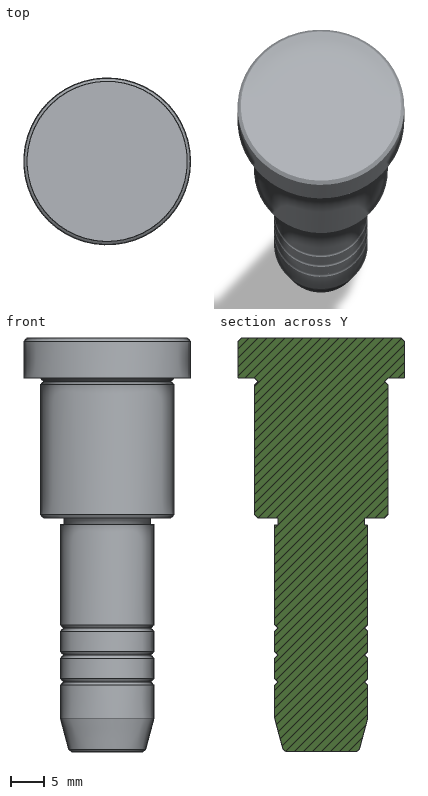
import cadquery as cq
import math

total_length = 62.0

head_radius = 25.0 / 2
head_height = 6.0
head_chamfer = 0.5

body_radius = 20.0 / 2
body_length = 20.95
body_chamfer = 0.5

shank_radius = 14.0 / 2
neck_depth = 0.5
neck_length = 1.0

tip_length = 5.0
tip_angle = 15.0
tip_chamfer = 0.4

groove_depth = 0.5
groove_count = 3
groove_pitch = 4.0
lowest_groove_z = 10.5

head_bottom_z = total_length - head_height
body_bottom_z = head_bottom_z - body_length
shank_top_z = body_bottom_z - neck_length


def cylinder(radius, bottom_z, top_z):
    """Solid cylinder on the Z axis between two levels."""
    return cq.Workplane("XY").workplane(offset=bottom_z).circle(radius).extrude(top_z - bottom_z)


def v_groove(surface_radius, center_z):
    """Triangular ring that cuts a V-groove into a cylinder of the given radius."""
    return (
        cq.Workplane("XZ")
        .moveTo(surface_radius, center_z - groove_depth)
        .lineTo(surface_radius - groove_depth, center_z)
        .lineTo(surface_radius, center_z + groove_depth)
        .close()
        .revolve(360, (0, 0, 0), (0, 1, 0))
    )


def tapered_tip():
    """Truncated cone that narrows downward, with a chamfered end."""
    end_radius = shank_radius - tip_length * math.tan(math.radians(tip_angle))
    cone = cq.Solid.makeCone(end_radius, shank_radius, tip_length)
    return cq.Workplane(obj=cone).faces("<Z").chamfer(tip_chamfer)


head = cylinder(head_radius, head_bottom_z, total_length).faces(">Z").chamfer(head_chamfer)
body = cylinder(body_radius, body_bottom_z, head_bottom_z).faces("<Z").chamfer(body_chamfer)
neck = cylinder(shank_radius - neck_depth, shank_top_z, body_bottom_z)
shank = cylinder(shank_radius, tip_length, shank_top_z)

result = head.union(body).union(neck).union(shank).union(tapered_tip())

result = result.cut(v_groove(body_radius, head_bottom_z - groove_depth))

for index in range(groove_count):
    result = result.cut(v_groove(shank_radius, lowest_groove_z + index * groove_pitch))